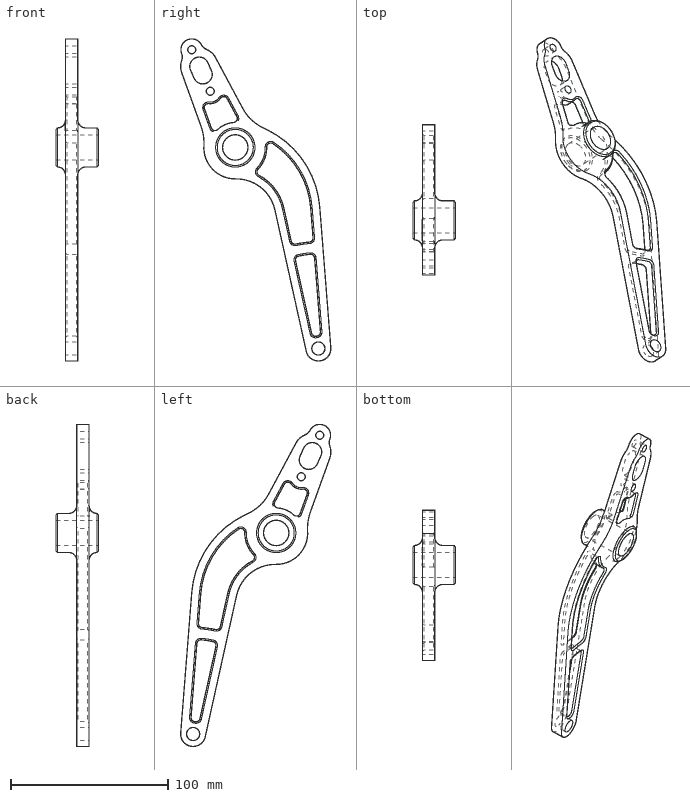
import cadquery as cq
import math

plate_thickness = 8.0
plate_face = plate_thickness / 2

level_tilt = 90

hub_radius = 20.0
boss_radius = 12.5
bore_radius = 8.0
boss_reach_front = 13.0
boss_root_fillet = 5.0
boss_edge_chamfer = 1.0
boss_reach_back = boss_root_fillet + boss_edge_chamfer
arm_root_fillet = 29.9

arm_tilt = 24.0
arm_root_radius = 16.0
shoulder_radius = 11.9
tip_radius = 7.0
tip_fillet = 6.0
pin_hole_radius = 2.5
pin_hole_distances = (39.0, 68.0)
slot_distance = sum(pin_hole_distances) / 2
slot_width = 11.9
slot_centre_spacing = 5.5
shoulder_distance = slot_distance + slot_centre_spacing / 2
arm_taper = math.degrees(math.asin((arm_root_radius - shoulder_radius) / shoulder_distance))

eye_y = 52.8
eye_z = -127.7
eye_radius = 8.0
eye_hole_radius = 4.0
outer_edge_tilt = 4.5
inner_edge_tilt = 12.5
crown_tilt = 64.0
crown_offset = 19.0
crown_overlap = 6.1
bend_radius = 60.0
inner_bend_radius = 25.0
crook_radius = 27.8

wall = 6.0
hole_collar_radius = 8.0
upper_hub_wall_radius = 16.0
rib_inner_radius = 60.0
rib_outer_radius = 68.0
window_corner = 2.5
window_chamfer = 1.0
chamfer_angle = 45
cut_depth = 6 * plate_thickness


def heading(tilt):
    """Unit (y, z) direction leaning from +Z toward -Y by the tilt in degrees."""
    angle = math.radians(tilt)
    return -math.sin(angle), math.cos(angle)


def left_of(tilt):
    """Unit (y, z) direction square to the heading, on its +Y side."""
    along_y, along_z = heading(tilt)
    return along_z, -along_y


def shift(point, direction, distance):
    return point[0] + direction[0] * distance, point[1] + direction[1] * distance


def crossing(point_a, tilt_a, point_b, tilt_b):
    """Meeting point of two lines, each given by a point and a tilt."""
    a_y, a_z = heading(tilt_a)
    b_y, b_z = heading(tilt_b)
    gap_y = point_b[0] - point_a[0]
    gap_z = point_b[1] - point_a[1]
    distance = (gap_y * b_z - gap_z * b_y) / (a_y * b_z - a_z * b_y)
    return shift(point_a, (a_y, a_z), distance)


def disc(point, radius, thickness=plate_thickness):
    return cq.Workplane("YZ").center(*point).circle(radius).extrude(thickness / 2, both=True)


def slab(points):
    return cq.Workplane("YZ").polyline(points).close().extrude(plate_face, both=True)


def round_corner(body, point, radius):
    """Round the edge across the plate that lies nearest to a (y, z) point."""
    corner = cq.selectors.NearestToPointSelector((0, *point))
    return body.edges("|X").edges(corner).fillet(radius)


def along_arm(distance):
    return shift(hub, heading(arm_tilt), distance)


hub = (0, 0)
eye = (eye_y, eye_z)
shoulder = along_arm(shoulder_distance)
tip = along_arm(pin_hole_distances[1])


def arm_sides(inset, length):
    """Tapered slab from the hub centre along the upper arm, set in from the arm's straight sides."""
    half_width = arm_root_radius - inset
    left = shift(hub, left_of(arm_tilt + arm_taper), half_width)
    right = shift(hub, left_of(arm_tilt - arm_taper), -half_width)
    return slab([
        left,
        shift(left, heading(arm_tilt + arm_taper), length),
        shift(right, heading(arm_tilt - arm_taper), length),
        right,
    ])


def upper_arm():
    """Arm whose straight sides are tangent to its root and shoulder circles."""
    side_length = shoulder_distance * math.cos(math.radians(arm_taper))
    sides = arm_sides(0, side_length)
    return sides.union(disc(shoulder, shoulder_radius)).union(disc(tip, tip_radius))


def lower_arm():
    """Bar from the eye to the hub, with a large-radius bend on its outer side."""
    outer_start = shift(eye, left_of(outer_edge_tilt), eye_radius)
    inner_start = shift(eye, left_of(inner_edge_tilt), -eye_radius)
    crown_touch = shift(hub, left_of(crown_tilt), crown_offset)
    crown_end = shift(crown_touch, heading(crown_tilt), crown_overlap)
    bend = crossing(outer_start, outer_edge_tilt, crown_touch, crown_tilt)
    inner_end = crossing(inner_start, inner_edge_tilt, hub, level_tilt)
    bar = slab([eye, outer_start, bend, crown_end, hub, inner_end, inner_start])
    return round_corner(bar, bend, bend_radius).union(disc(eye, eye_radius))


def blank():
    """Solid lever plate with every inside corner of its outline rounded."""
    body = upper_arm().union(lower_arm()).clean()
    body = round_corner(body, shift(hub, left_of(crown_tilt), crown_offset), crook_radius)
    body = body.union(disc(hub, hub_radius)).clean()
    across_arm = left_of(arm_tilt)
    for side in (1, -1):
        body = round_corner(body, shift(tip, across_arm, side * tip_radius), tip_fillet)
    body = round_corner(body, shift(hub, across_arm, -hub_radius), arm_root_fillet)
    return round_corner(body, (hub_radius, 0), inner_bend_radius)


def upper_window():
    """Opening between the hub and the collar of the first pin hole."""
    collar_centre = along_arm(pin_hole_distances[0])
    opening = arm_sides(wall, pin_hole_distances[0]).cut(disc(hub, upper_hub_wall_radius))
    return opening.cut(disc(collar_centre, hole_collar_radius))


def lower_windows(plate):
    """Two openings that follow the plate outline, parted by a rib curved about the eye."""
    outline = plate.faces("<X").wires().val()
    inner_outline = outline.offset2D(-wall)[0]
    opening = cq.Workplane(cq.Solid.extrudeLinear(inner_outline, [], cq.Vector(plate_thickness, 0, 0)))
    rib = disc(eye, rib_outer_radius).cut(disc(eye, rib_inner_radius))
    for solid_part in (disc(hub, hub_radius), rib, disc(eye, hole_collar_radius)):
        opening = opening.cut(solid_part)
    return opening.cut(upper_arm())


def rounded_outline(opening):
    """Outline of a window in the middle plane of the plate, with its corners rounded."""
    sharp = opening.faces("<X").wires().val()
    rounded = sharp.offset2D(-window_corner)[0].offset2D(window_corner)[0]
    return rounded.translate(cq.Vector(plate_face, 0, 0))


def through_cutter(outline):
    start = outline.translate(cq.Vector(-cut_depth / 2, 0, 0))
    return cq.Workplane(cq.Solid.extrudeLinear(start, [], cq.Vector(cut_depth, 0, 0)))


def edge_flare(outline, side):
    """Cutter that chamfers a window edge on the +X (side 1) or -X (side -1) plate face."""
    start = outline.translate(cq.Vector(side * (plate_face - window_chamfer), 0, 0))
    depth = cq.Vector(side * window_chamfer, 0, 0)
    return cq.Workplane(cq.Solid.extrudeLinear(start, [], depth, -chamfer_angle))


def hub_body():
    """Boss on both sides of the plate, with a concave root and chamfered rims."""
    foot_radius = boss_radius + boss_root_fillet
    root_end = plate_face + boss_root_fillet
    back = plate_face + boss_reach_back
    front = plate_face + boss_reach_front
    rim_radius = boss_radius - boss_edge_chamfer
    sag = boss_root_fillet * (1 - math.sqrt(0.5))
    root_middle = (plate_face + sag, boss_radius + sag)
    profile = (
        cq.Workplane("XY")
        .moveTo(-back, 0)
        .lineTo(-back, rim_radius)
        .lineTo(boss_edge_chamfer - back, boss_radius)
        .threePointArc((-root_middle[0], root_middle[1]), (-plate_face, foot_radius))
        .lineTo(plate_face, foot_radius)
        .threePointArc(root_middle, (root_end, boss_radius))
        .lineTo(front - boss_edge_chamfer, boss_radius)
        .lineTo(front, rim_radius)
        .lineTo(front, 0)
        .close()
    )
    return profile.revolve(360, (0, 0, 0), (1, 0, 0))


def slot():
    """Round-ended slot lying along the upper arm."""
    outline = cq.Workplane("YZ").center(*along_arm(slot_distance))
    outline = outline.slot2D(slot_width + slot_centre_spacing, slot_width, level_tilt + arm_tilt)
    return outline.extrude(plate_thickness, both=True)


plate = blank()
openings = upper_window().solids().vals() + lower_windows(plate).solids().vals()
window_outlines = [rounded_outline(cq.Workplane(opening)) for opening in openings]

result = plate
for outline in window_outlines:
    for side in (1, -1):
        result = result.cut(edge_flare(outline, side))
result = result.union(hub_body())
for outline in window_outlines:
    result = result.cut(through_cutter(outline))

result = result.cut(slot())
for distance in pin_hole_distances:
    result = result.cut(disc(along_arm(distance), pin_hole_radius, cut_depth))
result = result.cut(disc(eye, eye_hole_radius, cut_depth))
result = result.cut(disc(hub, bore_radius, cut_depth))